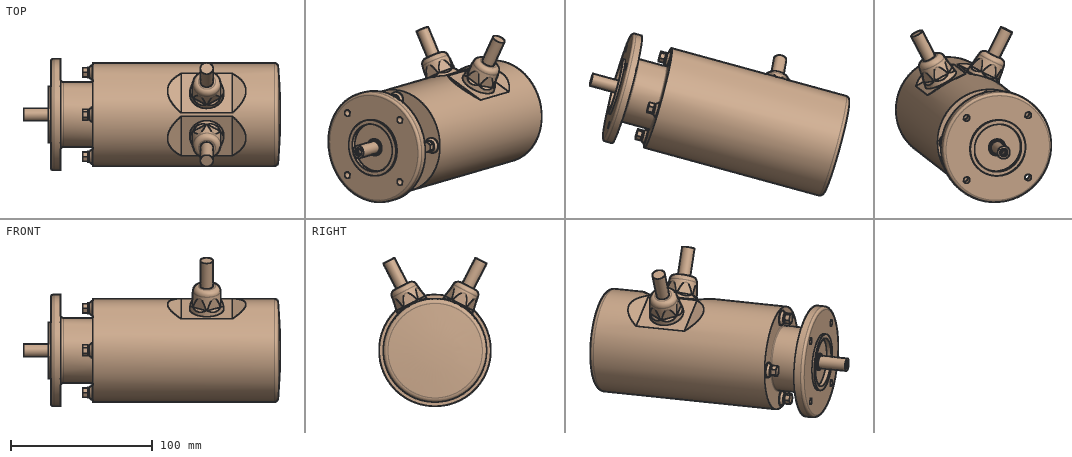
import cadquery as cq
import math

TOTAL_LENGTH = 181.0
OVERLAP = 1.8
HEX_SIDES = 6
PLANE_TOLERANCE = 0.2

SHAFT_DIA = 9.0
CENTRE_BORE_DIA = 3.5
CENTRE_BORE_DEPTH = 9.0
CENTRE_SINK_DIA = 5.8
CENTRE_SINK_DEPTH = 0.7
CENTRE_COUNTERBORE_DIA = 4.5
CENTRE_COUNTERBORE_DEPTH = 2.7
COLLAR_DIA = 12.0
COLLAR_HEIGHT = 1.0
COLLAR_TOP_DIA = 10.9

SPIGOT_FACE_X = 17.5
SPIGOT_DIA = 40.0
SPIGOT_RECESS_DIA = 34.0
SPIGOT_RECESS_DEPTH = 3.3
FLANGE_FACE_X = 19.2
FLANGE_BACK_X = 26.0
FLANGE_DIA = 79.0
FLANGE_FILLET = 2.0
FLANGE_HOLE_DIA = 4.5
FLANGE_HOLE_COUNT = 4
FLANGE_HOLE_CIRCLE_DIA = 63.0
FLANGE_HOLE_START_ANGLE = 45.0
NECK_DIA = 46.0
NECK_FILLET = 2.0
NECK_FOOT_FILLET = 0.5

HOUSING_FACE_X = 48.9
HOUSING_DIA = 73.0
HOUSING_EDGE_X = 176.5
END_DOME_RADIUS = 33.3
END_DOME_RISE = 1.5

SCREW_COUNT = 4
SCREW_CIRCLE_RADIUS = 29.7
SCREW_HEX_WIDTH = 6.7
SCREW_HEX_LENGTH = 3.6
SCREW_COLLAR_DIA = 7.6
SCREW_COLLAR_LENGTH = 1.0
SCREW_CONE_LENGTH = 2.0
SCREW_WASHER_DIA = 10.9
SCREW_WASHER_THICKNESS = 0.5

GLAND_X = 129.0
GLAND_TILT = 27.2
GLAND_TILTS = (-GLAND_TILT, GLAND_TILT)
FLAT_HEIGHT = 33.0
FLAT_LENGTH = 35.8
FLAT_RAMP_ANGLE = 20.0

GLAND_BASE_DIA = 24.3
GLAND_LEDGE_HEIGHT = 37.3
GLAND_LEDGE_ANGLE = 45.0
GLAND_HEX_WIDTH = 20.1
GLAND_SHOULDER_HEIGHT = 47.2
GLAND_SHOULDER_DIA = 19.5
GLAND_TOP_DIA = 12.0
CABLE_DIA = 9.0
CABLE_END_HEIGHT = 71.1


def disc(dia, start_x, end_x):
    """Cylinder on the motor axis between two X positions."""
    return cq.Workplane("YZ").workplane(offset=start_x).circle(dia / 2).extrude(end_x - start_x)


def fillet_neck_end(body, end_x, radius):
    """Fillet the inside corner around the neck, the smallest circle in the plane at end_x."""
    slab = cq.selectors.BoxSelector(
        (end_x - PLANE_TOLERANCE, -FLANGE_DIA, -FLANGE_DIA),
        (end_x + PLANE_TOLERANCE, FLANGE_DIA, FLANGE_DIA),
    )
    return body.edges(slab).edges(cq.selectors.RadiusNthSelector(0)).fillet(radius)


def make_shaft():
    """Shaft with a countersunk centre bore and a collar at its root."""
    recess_floor_x = SPIGOT_FACE_X + SPIGOT_RECESS_DEPTH
    shaft = disc(SHAFT_DIA, 0, FLANGE_BACK_X)
    collar = disc(COLLAR_DIA, recess_floor_x - COLLAR_HEIGHT, FLANGE_BACK_X)
    collar = collar.faces("<X").edges().chamfer((COLLAR_DIA - COLLAR_TOP_DIA) / 2)
    counterbore_radius = CENTRE_COUNTERBORE_DIA / 2
    sink_radius = CENTRE_SINK_DIA / 2
    bore_radius = CENTRE_BORE_DIA / 2
    bore = (
        cq.Workplane("XY")
        .moveTo(0, 0)
        .lineTo(0, sink_radius)
        .lineTo(CENTRE_SINK_DEPTH, counterbore_radius)
        .lineTo(CENTRE_COUNTERBORE_DEPTH, counterbore_radius)
        .lineTo(CENTRE_COUNTERBORE_DEPTH, bore_radius)
        .lineTo(CENTRE_BORE_DEPTH, bore_radius)
        .lineTo(CENTRE_BORE_DEPTH + bore_radius, 0)
        .close()
        .revolve(360, (0, 0, 0), (1, 0, 0))
    )
    return shaft.union(collar).cut(bore)


def make_flange():
    """Flange with its recessed spigot, bolt holes and the neck behind it."""
    flange = disc(FLANGE_DIA, FLANGE_FACE_X, FLANGE_BACK_X).faces("<X").edges().fillet(FLANGE_FILLET)
    neck = disc(NECK_DIA, FLANGE_BACK_X, HOUSING_FACE_X)
    flange = flange.union(neck)
    flange = fillet_neck_end(flange, FLANGE_BACK_X, NECK_FILLET)
    holes = (
        cq.Workplane("YZ")
        .workplane(offset=FLANGE_FACE_X - OVERLAP)
        .polarArray(FLANGE_HOLE_CIRCLE_DIA / 2, FLANGE_HOLE_START_ANGLE, 360, FLANGE_HOLE_COUNT)
        .circle(FLANGE_HOLE_DIA / 2)
        .extrude(FLANGE_BACK_X - FLANGE_FACE_X + 2 * OVERLAP)
    )
    spigot = disc(SPIGOT_DIA, SPIGOT_FACE_X, FLANGE_BACK_X)
    recess = disc(SPIGOT_RECESS_DIA, SPIGOT_FACE_X, SPIGOT_FACE_X + SPIGOT_RECESS_DEPTH)
    return flange.cut(holes).union(spigot).cut(recess)


def make_housing_shell():
    """Housing cylinder with a rounded rear edge and a slightly domed rear end."""
    radius = HOUSING_DIA / 2
    dome_edge_x = TOTAL_LENGTH - END_DOME_RISE
    dome_sphere_radius = (END_DOME_RADIUS**2 + END_DOME_RISE**2) / (2 * END_DOME_RISE)
    half_radius = END_DOME_RADIUS / 2
    dome_mid_x = TOTAL_LENGTH - dome_sphere_radius + math.sqrt(dome_sphere_radius**2 - half_radius**2)
    return (
        cq.Workplane("XY")
        .moveTo(HOUSING_FACE_X, 0)
        .lineTo(HOUSING_FACE_X, radius)
        .lineTo(HOUSING_EDGE_X, radius)
        .tangentArcPoint((dome_edge_x, END_DOME_RADIUS), relative=False)
        .threePointArc((dome_mid_x, half_radius), (TOTAL_LENGTH, 0))
        .close()
        .revolve(360, (0, 0, 0), (1, 0, 0))
    )


def make_screw_head(angle):
    """Hexagonal head on a conical washer, two of its flats facing the motor axis."""
    hex_corners = SCREW_HEX_WIDTH / math.cos(math.pi / HEX_SIDES)
    washer_front_x = HOUSING_FACE_X - SCREW_WASHER_THICKNESS
    cone_front_x = washer_front_x - SCREW_CONE_LENGTH
    collar_front_x = cone_front_x - SCREW_COLLAR_LENGTH
    head = (
        cq.Workplane("XY")
        .moveTo(HOUSING_FACE_X, 0)
        .lineTo(HOUSING_FACE_X, SCREW_WASHER_DIA / 2)
        .lineTo(washer_front_x, SCREW_WASHER_DIA / 2)
        .lineTo(cone_front_x, SCREW_COLLAR_DIA / 2)
        .lineTo(collar_front_x, SCREW_COLLAR_DIA / 2)
        .lineTo(collar_front_x, 0)
        .close()
        .revolve(360, (0, 0, 0), (1, 0, 0))
    )
    hexagon = (
        cq.Workplane("YZ")
        .workplane(offset=collar_front_x)
        .polygon(HEX_SIDES, hex_corners)
        .extrude(-SCREW_HEX_LENGTH)
    )
    head = head.union(hexagon).translate((0, 0, SCREW_CIRCLE_RADIUS))
    return head.rotate((0, 0, 0), (1, 0, 0), angle)


def make_flat_cutter(tilt):
    """Cutter that mills a flat with a ramp at each end into the housing."""
    top_height = HOUSING_DIA / 2 + OVERLAP
    ramp_length = (top_height - FLAT_HEIGHT) / math.tan(math.radians(FLAT_RAMP_ANGLE))
    half_length = FLAT_LENGTH / 2
    cutter = (
        cq.Workplane("XZ")
        .polyline(
            [
                (GLAND_X - half_length, FLAT_HEIGHT),
                (GLAND_X + half_length, FLAT_HEIGHT),
                (GLAND_X + half_length + ramp_length, top_height),
                (GLAND_X - half_length - ramp_length, top_height),
            ]
        )
        .close()
        .extrude(HOUSING_DIA / 2, both=True)
    )
    return cutter.rotate((0, 0, 0), (1, 0, 0), tilt)


def make_motor():
    """Shaft, flange, housing and screw heads as one solid."""
    motor = make_housing_shell().union(make_flange())
    motor = fillet_neck_end(motor, HOUSING_FACE_X, NECK_FOOT_FILLET).union(make_shaft())
    for index in range(SCREW_COUNT):
        motor = motor.union(make_screw_head(index * 360 / SCREW_COUNT))
    for tilt in GLAND_TILTS:
        motor = motor.cut(make_flat_cutter(tilt))
    return motor


def make_nut_flat_cutter():
    """Cutter for the nut flat facing +X, ending on a ledge that slopes down and outward."""
    apothem = GLAND_HEX_WIDTH / 2
    outer_radius = GLAND_BASE_DIA / 2 + OVERLAP
    ledge_drop = (outer_radius - apothem) * math.tan(math.radians(GLAND_LEDGE_ANGLE))
    return (
        cq.Workplane("XZ")
        .polyline(
            [
                (apothem, GLAND_LEDGE_HEIGHT),
                (outer_radius, GLAND_LEDGE_HEIGHT - ledge_drop),
                (outer_radius, GLAND_SHOULDER_HEIGHT),
                (apothem, GLAND_SHOULDER_HEIGHT),
            ]
        )
        .close()
        .extrude(apothem, both=True)
    )


def make_gland(tilt):
    """Cable gland with a conical hexagon nut, a rounded cap and its cable."""
    base_radius = GLAND_BASE_DIA / 2
    shoulder_radius = GLAND_SHOULDER_DIA / 2
    top_radius = GLAND_TOP_DIA / 2
    cap_round = shoulder_radius - top_radius
    cap_top = GLAND_SHOULDER_HEIGHT + cap_round
    body = (
        cq.Workplane("XZ")
        .moveTo(0, FLAT_HEIGHT)
        .lineTo(base_radius, FLAT_HEIGHT)
        .lineTo(shoulder_radius, GLAND_SHOULDER_HEIGHT)
        .radiusArc((top_radius, cap_top), -cap_round)
        .lineTo(0, cap_top)
        .close()
        .revolve(360, (0, 0, 0), (0, 1, 0))
    )
    for index in range(HEX_SIDES):
        angle = index * 360 / HEX_SIDES
        body = body.cut(make_nut_flat_cutter().rotate((0, 0, 0), (0, 0, 1), angle))
    cable = (
        cq.Workplane("XY")
        .workplane(offset=FLAT_HEIGHT)
        .circle(CABLE_DIA / 2)
        .extrude(CABLE_END_HEIGHT - FLAT_HEIGHT)
    )
    gland = body.union(cable)
    return gland.rotate((0, 0, 0), (1, 0, 0), tilt).translate((GLAND_X, 0, 0))


motor = make_motor()
glands = [make_gland(tilt) for tilt in GLAND_TILTS]

result = cq.Compound.makeCompound([motor.val(), *[gland.val() for gland in glands]])